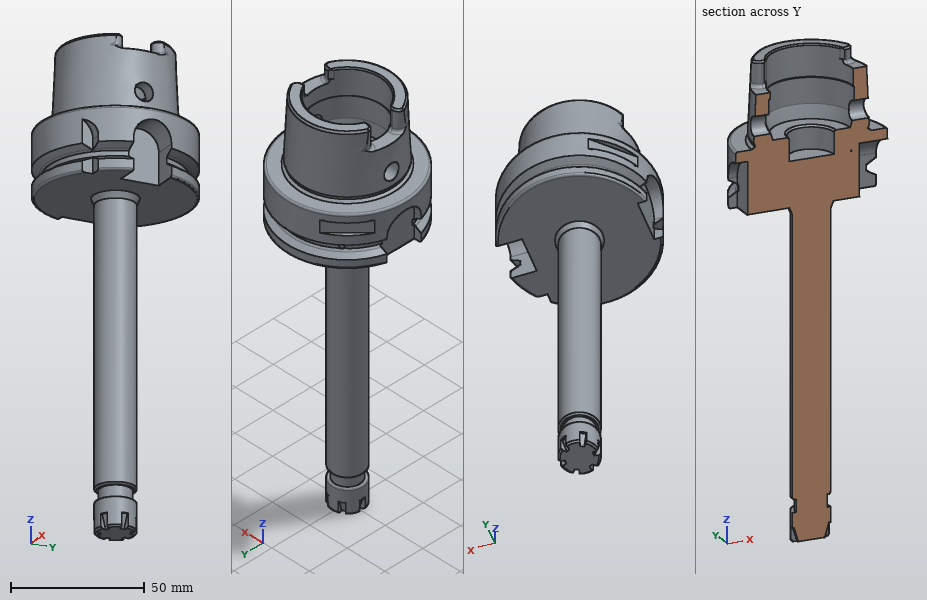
import cadquery as cq
import math

total_height = 192.0
flange_top_z = 160.0
flange_bottom_z = 134.0

nut_radius = 8.0
nut_top_z = 12.0
nut_chamfer = 0.8
nut_top_rounding = 0.4
nut_slot_count = 6
nut_slot_width = 2.9
nut_slot_floor_width = 1.5
nut_slot_top_depth = 0.8
nut_slot_bottom_depth = 2.5
nut_slot_height = 5.8
neck_radius = 6.5

body_radius = 8.0
body_bottom_z = 17.0
body_chamfer = 0.8
collar_radius = 9.2
collar_height = 2.7

flange_radius = 31.5
flange_rounding = 1.0
groove_radius = 27.6
groove_root_radius = 28.6
groove_root_height = 0.8
groove_floor_bottom_z = 141.0
groove_floor_width = 2.1
groove_flank_rise = (flange_radius - groove_root_radius) * math.tan(math.radians(30))

groove_spot_radius = 1.2
groove_spot_depth = 0.1
groove_spot_angles = (131, 229)

shank_base_radius = 24.0
shank_base_z = 162.5
shank_top_radius = 22.7
shank_chamfer_width = 0.8
shank_chamfer_height = 1.0
relief_radius = 23.5
relief_z = 160.9
relief_outer_radius = 24.8

bore_mouth_radius = 17.7
bore_radius = 17.0
bore_lip_z = 179.0
undercut_radius = 17.7
undercut_bottom_z = 168.0
bore_bottom_radius = 16.0
bore_floor_z = 162.5
center_hole_radius = 9.2
center_hole_chamfer = 0.8
center_hole_depth = 9.6

cross_hole_radius = 3.8
cross_hole_z = 169.0

key_slot_half_width = 6.3
key_slot_flare_radius = 3.0
key_slot_floor_fillet = 1.5
key_slot_top_chamfer = 0.8
key_slot_bore_chamfer = 0.8
deep_key_floor_z = 181.6
shallow_key_floor_z = 185.9

wide_slot_width = 18.0
narrow_slot_width = 16.0
drive_slot_top_z = 155.3
shallow_drive_floor_x = 26.5
deep_drive_floor_x = 20.0
corner_slot_wall_y = -19.8
corner_slot_top_z = 156.0

flat_distance = 29.8
flat_bottom_z = 150.0
flat_height = 6.0
flat_angle = 135

cut_margin = 9.6


def outer_body():
    """Revolve the outside of the holder."""
    groove_floor_top_z = groove_floor_bottom_z + groove_floor_width
    lower_root_z = groove_floor_bottom_z - groove_root_height
    upper_root_z = groove_floor_top_z + groove_root_height
    rim_center_radius = flange_radius - flange_rounding
    lower_rim_z = flange_bottom_z + flange_rounding
    upper_rim_z = flange_top_z - flange_rounding
    profile = (
        cq.Workplane("XZ")
        .lineTo(nut_radius - nut_chamfer, 0)
        .lineTo(nut_radius, nut_chamfer)
        .lineTo(nut_radius, nut_top_z - nut_top_rounding)
        .radiusArc((nut_radius - nut_top_rounding, nut_top_z), -nut_top_rounding)
        .lineTo(neck_radius, nut_top_z)
        .lineTo(neck_radius, body_bottom_z)
        .lineTo(body_radius - body_chamfer, body_bottom_z)
        .lineTo(body_radius, body_bottom_z + body_chamfer)
        .lineTo(body_radius, flange_bottom_z - collar_height)
        .lineTo(collar_radius, flange_bottom_z)
        .lineTo(rim_center_radius, flange_bottom_z)
        .radiusArc((flange_radius, lower_rim_z), -flange_rounding)
        .lineTo(flange_radius, lower_root_z - groove_flank_rise)
        .lineTo(groove_root_radius, lower_root_z)
        .lineTo(groove_radius, groove_floor_bottom_z)
        .lineTo(groove_radius, groove_floor_top_z)
        .lineTo(groove_root_radius, upper_root_z)
        .lineTo(flange_radius, upper_root_z + groove_flank_rise)
        .lineTo(flange_radius, upper_rim_z)
        .radiusArc((rim_center_radius, flange_top_z), -flange_rounding)
        .lineTo(relief_outer_radius, flange_top_z)
        .lineTo(relief_radius, relief_z)
        .lineTo(shank_base_radius, shank_base_z)
        .lineTo(shank_top_radius, total_height - shank_chamfer_height)
        .lineTo(shank_top_radius - shank_chamfer_width, total_height)
        .lineTo(0, total_height)
        .close()
    )
    return profile.revolve(360, (0, 0, 0), (0, 1, 0))


def bore():
    """Chamfered bore with an undercut below its lip and a smaller hole in its floor."""
    mouth_chamfer = bore_mouth_radius - bore_radius
    lip_width = undercut_radius - bore_radius
    profile = (
        cq.Workplane("XZ")
        .moveTo(0, total_height)
        .lineTo(bore_mouth_radius, total_height)
        .lineTo(bore_radius, total_height - mouth_chamfer)
        .lineTo(bore_radius, bore_lip_z)
        .lineTo(undercut_radius, bore_lip_z - lip_width)
        .lineTo(undercut_radius, undercut_bottom_z)
        .lineTo(bore_bottom_radius, bore_floor_z)
        .lineTo(center_hole_radius + center_hole_chamfer, bore_floor_z)
        .lineTo(center_hole_radius, bore_floor_z - center_hole_chamfer)
        .lineTo(center_hole_radius, bore_floor_z - center_hole_depth)
        .lineTo(0, bore_floor_z - center_hole_depth)
        .close()
    )
    return profile.revolve(360, (0, 0, 0), (0, 1, 0))


def cross_hole():
    """Hole along X through both sides of the shank."""
    length = 2 * (shank_base_radius + cut_margin)
    start = cq.Workplane("YZ", origin=(-length / 2, 0, cross_hole_z))
    return start.circle(cross_hole_radius).extrude(length)


def key_slot(floor_z):
    """Slot on +X whose mouth flares out in arcs that run tangent to the shank just above its floor."""
    shank_slope = (shank_base_radius - shank_top_radius) / (total_height - shank_base_z)
    tangent_z = floor_z + 2 * key_slot_floor_fillet
    tangent_radius = shank_top_radius + shank_slope * (total_height - tangent_z)
    flare_center_y = key_slot_half_width + key_slot_flare_radius
    flare_reach = tangent_radius - key_slot_flare_radius
    flare_center_x = math.sqrt(flare_reach**2 - flare_center_y**2)
    end_angle = math.atan2(flare_center_y, flare_center_x)
    mid_angle = (end_angle - math.pi / 2) / 2

    def on_flare(angle):
        x = flare_center_x + key_slot_flare_radius * math.cos(angle)
        y = flare_center_y + key_slot_flare_radius * math.sin(angle)
        return x, y

    def mirrored(point):
        return point[0], -point[1]

    flare_end = on_flare(end_angle)
    tip = (
        flare_end[0] - cut_margin * math.sin(end_angle),
        flare_end[1] + cut_margin * math.cos(end_angle),
    )
    inner_x = bore_radius / 2
    outer_x = shank_base_radius + cut_margin

    def outline(z):
        return (
            cq.Workplane("XY", origin=(0, 0, z))
            .moveTo(inner_x, -key_slot_half_width)
            .lineTo(inner_x, key_slot_half_width)
            .lineTo(flare_center_x, key_slot_half_width)
            .threePointArc(on_flare(mid_angle), flare_end)
            .lineTo(*tip)
            .lineTo(outer_x, tip[1])
            .lineTo(outer_x, -tip[1])
            .lineTo(*mirrored(tip))
            .lineTo(*mirrored(flare_end))
            .threePointArc(mirrored(on_flare(mid_angle)), (flare_center_x, -key_slot_half_width))
            .close()
        )

    slot = outline(floor_z).extrude(total_height - floor_z)
    slot = slot.faces("<Z").edges().fillet(key_slot_floor_fillet)
    top_chamfer = outline(total_height - key_slot_top_chamfer).extrude(key_slot_top_chamfer, taper=-45)

    bore_wall_x = math.sqrt(bore_radius**2 - key_slot_half_width**2)
    wedge_tip_x = bore_wall_x + key_slot_bore_chamfer
    wedge_half_width = key_slot_half_width + wedge_tip_x - inner_x
    bore_chamfer = (
        cq.Workplane("XY", origin=(0, 0, floor_z + key_slot_floor_fillet))
        .moveTo(inner_x, -wedge_half_width)
        .lineTo(inner_x, wedge_half_width)
        .lineTo(wedge_tip_x, key_slot_half_width)
        .lineTo(wedge_tip_x, -key_slot_half_width)
        .close()
        .extrude(total_height - floor_z - key_slot_floor_fillet)
    )
    return slot.union(top_chamfer).union(bore_chamfer)


def flange_slot(width, center_y, top_z, floor_x):
    """Round-topped slot on +X, open at the rim and at the bottom of the flange."""
    radius = width / 2
    height = top_z - flange_bottom_z
    return (
        cq.Workplane("YZ", origin=(floor_x, center_y, flange_bottom_z))
        .moveTo(-radius, 0)
        .lineTo(-radius, height - radius)
        .threePointArc((0, height), (radius, height - radius))
        .lineTo(radius, 0)
        .close()
        .extrude(flange_radius)
    )


def rim_flat():
    """Flat across the flange rim, limited in height."""
    return (
        cq.Workplane("XY", origin=(0, 0, flat_bottom_z))
        .center(flat_distance + cut_margin / 2, 0)
        .rect(cut_margin, 2 * flange_radius)
        .extrude(flat_height)
        .rotate((0, 0, 0), (0, 0, 1), flat_angle)
    )


def nut_slots():
    """Wrench slots spaced evenly around the nut, narrowing inward and deeper at its free face."""
    outer_x = 2 * nut_radius
    floor_x = nut_radius - nut_slot_bottom_depth
    plan = (
        cq.Workplane("XY")
        .moveTo(floor_x, -nut_slot_floor_width / 2)
        .lineTo(nut_radius, -nut_slot_width / 2)
        .lineTo(outer_x, -nut_slot_width / 2)
        .lineTo(outer_x, nut_slot_width / 2)
        .lineTo(nut_radius, nut_slot_width / 2)
        .lineTo(floor_x, nut_slot_floor_width / 2)
        .close()
        .extrude(nut_slot_height)
    )
    side = (
        cq.Workplane("XZ")
        .moveTo(floor_x, 0)
        .lineTo(nut_radius - nut_slot_top_depth, nut_slot_height)
        .lineTo(outer_x, nut_slot_height)
        .lineTo(outer_x, 0)
        .close()
        .extrude(nut_slot_width, both=True)
    )
    slot = plan.intersect(side)
    slots = cq.Workplane("XY")
    for index in range(nut_slot_count):
        slots = slots.add(slot.rotate((0, 0, 0), (0, 0, 1), index * 360 / nut_slot_count))
    return slots.combine()


def groove_spots():
    """Shallow radial spots at mid-height of the groove floor."""
    spot = (
        cq.Workplane("YZ", origin=(groove_radius - groove_spot_depth, 0, 0))
        .center(0, groove_floor_bottom_z + groove_floor_width / 2)
        .circle(groove_spot_radius)
        .extrude(flange_radius - groove_radius)
    )
    spots = cq.Workplane("XY")
    for angle in groove_spot_angles:
        spots = spots.add(spot.rotate((0, 0, 0), (0, 0, 1), angle))
    return spots.combine()


def on_minus_x(cutter):
    """Turn a cutter made on +X round to -X."""
    return cutter.rotate((0, 0, 0), (0, 0, 1), 180)


corner_slot_center_y = corner_slot_wall_y - narrow_slot_width / 2

result = (
    outer_body()
    .cut(bore())
    .cut(cross_hole())
    .cut(key_slot(shallow_key_floor_z))
    .cut(on_minus_x(key_slot(deep_key_floor_z)))
    .cut(flange_slot(narrow_slot_width, 0, drive_slot_top_z, deep_drive_floor_x))
    .cut(on_minus_x(flange_slot(wide_slot_width, 0, drive_slot_top_z, shallow_drive_floor_x)))
    .cut(flange_slot(narrow_slot_width, corner_slot_center_y, corner_slot_top_z, deep_drive_floor_x))
    .cut(rim_flat())
    .cut(groove_spots())
    .cut(nut_slots())
)